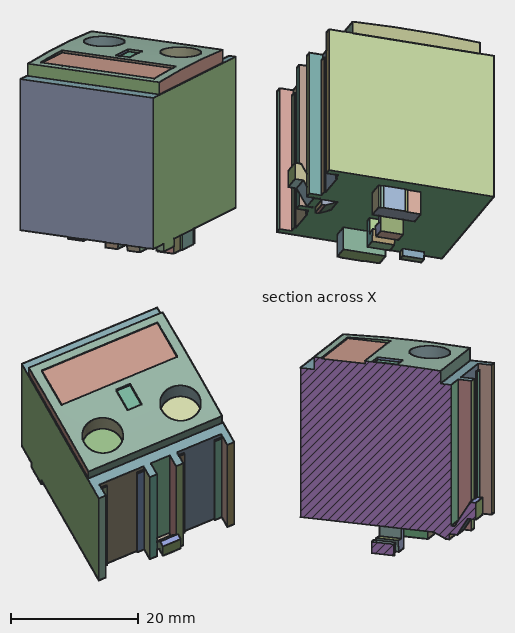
import cadquery as cq
import math

OVERALL_DEPTH = 29.4
OVERALL_HEIGHT = 31.43
BODY_WIDTH = 23.59
HALF_WIDTH = BODY_WIDTH / 2
LATCH_OVERHANG = 1.9
BODY_DEPTH = OVERALL_DEPTH - LATCH_OVERHANG
BODY_HEIGHT = 24.53
HOOK_DROP = 4.59
PEAK_Z = OVERALL_HEIGHT - HOOK_DROP

CAP_WIDTH = 23.29
CAP_FRONT_Y = 2.24
CAP_BACK_Y = 23.5
CROWN_RADIUS = 200.0
CROWN_Y = BODY_DEPTH / 2

WELL_RADIUS = 3.2
WELL_X = 6.77
WELL_Y = 18.6
WELL_DEPTH = 3.3

RECESS_FLOOR_Z = PEAK_Z - 0.42
LABEL_WIDTH = 20.14
LABEL_FRONT_Y = 3.6
LABEL_BACK_Y = 10.77
SLOT_WIDTH = 2.44
SLOT_FRONT_Y = 12.0
SLOT_BACK_Y = 16.18

REAR_WALL_Y = BODY_DEPTH - 2.24
SIDE_RIB_INNER_X = 10.58
CENTRE_RIB_OUTER_X = 2.92
CENTRE_RIB_INNER_X = 1.66
LEDGE_PROJECTION = 0.25
LEDGE_WIDTH = 1.2
LEDGE_TOP_Z = BODY_HEIGHT - 1.0

LATCH_HALF_WIDTH = 1.56
LATCH_HEAD_TOP_Z = 5.66
LATCH_HEAD_BOTTOM_Z = 2.83
LATCH_HEAD_TOP_REACH = 0.9
LATCH_HEAD_BOTTOM_REACH = 0.52
LATCH_SLOPE = 1.6
LATCH_RAMP_LENGTH = 2.64
BARB_BACK_Y = BODY_DEPTH - 2.58
BARB_TIP_LENGTH = 0.6
BARB_LENGTH = 2.61
BARB_DROP = 0.88

POST_INNER_X = 6.57
POST_OUTER_X = 9.52
POST_FRONT_Y = 11.3
POST_BACK_Y = 18.35
POST_DROP = 3.84
PAD_HEIGHT = 0.15
PAD_FRONT_Y = 13.5
PAD_BACK_Y = 17.99
PAD_BEVEL = 0.42

HOOK_OUTER_X = 3.04
HOOK_ARM_INNER_X = 2.04
HOOK_TIP_X = 0.53
HOOK_END_X = 0.9
HOOK_SHELF_Z = -2.71
HOOK_TIP_Z = -2.6
HOOK_FRONT_Y = 11.94
HOOK_BACK_Y = 15.65

TAB_WIDTH = 1.3
TAB_FRONT_Y = 3.45
TAB_BACK_Y = 7.0
TAB_DROP = 1.25


def block(x_range, y_range, z_range):
    """Box spanning the given X, Y and Z ranges."""
    low, high = zip(x_range, y_range, z_range)
    size = [end - start for start, end in zip(low, high)]
    return cq.Workplane("XY").box(*size, centered=False).translate(low)


def both_sides(shape):
    """The shape together with its mirror image in the middle plane."""
    return shape.union(shape.mirror("YZ"))


def prism_along_x(points, half_width):
    """Y-Z outline extruded evenly to both sides of the middle plane."""
    return cq.Workplane("YZ").polyline(points).close().extrude(half_width, both=True)


def crown_z(y):
    """Height of the crowned cap surface at the given Y."""
    return PEAK_Z - CROWN_RADIUS + math.sqrt(CROWN_RADIUS**2 - (y - CROWN_Y) ** 2)


def make_rear_rib_set():
    """Rear ribs on the +X half with the two narrow ledges between them."""
    rib_y = (REAR_WALL_Y, BODY_DEPTH)
    ledge_y = (REAR_WALL_Y, REAR_WALL_Y + LEDGE_PROJECTION)
    side_rib = block((SIDE_RIB_INNER_X, HALF_WIDTH), rib_y, (0, BODY_HEIGHT))
    centre_rib = block((CENTRE_RIB_INNER_X, CENTRE_RIB_OUTER_X), rib_y, (0, BODY_HEIGHT))
    ribs = side_rib.union(centre_rib)
    for ledge_x in (CENTRE_RIB_OUTER_X, SIDE_RIB_INNER_X - LEDGE_WIDTH):
        ledge = block((ledge_x, ledge_x + LEDGE_WIDTH), ledge_y, (0, LEDGE_TOP_Z))
        ribs = ribs.union(ledge)
    return ribs


def make_housing():
    """Block with ribs and ledges on its rear wall."""
    core = block((-HALF_WIDTH, HALF_WIDTH), (0, REAR_WALL_Y), (0, BODY_HEIGHT))
    return core.union(both_sides(make_rear_rib_set()))


def make_cap():
    """Cap with a shallow cylindrical crown."""
    return (
        cq.Workplane("YZ")
        .moveTo(CAP_FRONT_Y, BODY_HEIGHT)
        .lineTo(CAP_FRONT_Y, crown_z(CAP_FRONT_Y))
        .threePointArc((CROWN_Y, PEAK_Z), (CAP_BACK_Y, crown_z(CAP_BACK_Y)))
        .lineTo(CAP_BACK_Y, BODY_HEIGHT)
        .close()
        .extrude(CAP_WIDTH / 2, both=True)
    )


def make_top_recesses():
    """Cutting bodies for the screw wells, the label recess and the slot."""
    wells = (
        cq.Workplane("XY", origin=(0, 0, PEAK_Z))
        .pushPoints([(-WELL_X, WELL_Y), (WELL_X, WELL_Y)])
        .circle(WELL_RADIUS)
        .extrude(-WELL_DEPTH)
    )
    label = block(
        (-LABEL_WIDTH / 2, LABEL_WIDTH / 2), (LABEL_FRONT_Y, LABEL_BACK_Y), (RECESS_FLOOR_Z, PEAK_Z)
    )
    slot = block((-SLOT_WIDTH / 2, SLOT_WIDTH / 2), (SLOT_FRONT_Y, SLOT_BACK_Y), (RECESS_FLOOR_Z, PEAK_Z))
    return wells.union(label).union(slot)


def make_latch():
    """Rear latch: an upright head on an arm that slants down to the rear wall."""
    head_y = BODY_DEPTH + LATCH_OVERHANG
    ramp_start_y = BODY_DEPTH + LATCH_HEAD_TOP_REACH
    ramp_end_y = ramp_start_y - LATCH_RAMP_LENGTH
    ramp_end_z = LATCH_HEAD_TOP_Z - LATCH_SLOPE * LATCH_RAMP_LENGTH
    under_start_y = BODY_DEPTH + LATCH_HEAD_BOTTOM_REACH
    under_end_y = under_start_y - LATCH_HEAD_BOTTOM_Z / LATCH_SLOPE
    outline = [
        (REAR_WALL_Y, 0),
        (under_end_y, 0),
        (under_start_y, LATCH_HEAD_BOTTOM_Z),
        (head_y, LATCH_HEAD_BOTTOM_Z),
        (head_y, LATCH_HEAD_TOP_Z),
        (ramp_start_y, LATCH_HEAD_TOP_Z),
        (ramp_end_y, ramp_end_z),
        (REAR_WALL_Y, ramp_end_z),
    ]
    return prism_along_x(outline, LATCH_HALF_WIDTH)


def make_barb():
    """Wedge under the housing, blunt at the back and running out to the front."""
    outline = [
        (BARB_BACK_Y, 0),
        (BARB_BACK_Y, -BARB_DROP),
        (BARB_BACK_Y - BARB_TIP_LENGTH, -BARB_DROP),
        (BARB_BACK_Y - BARB_LENGTH, 0),
    ]
    return prism_along_x(outline, LATCH_HALF_WIDTH)


def make_posts():
    """Pair of guide posts, each with a bevelled pad raised on its outer side."""
    base_x = POST_OUTER_X - PAD_HEIGHT
    outline = [
        (POST_INNER_X, POST_FRONT_Y),
        (base_x, POST_FRONT_Y),
        (base_x, PAD_FRONT_Y),
        (POST_OUTER_X, PAD_FRONT_Y + PAD_BEVEL),
        (POST_OUTER_X, PAD_BACK_Y - PAD_BEVEL),
        (base_x, PAD_BACK_Y),
        (base_x, POST_BACK_Y),
        (POST_INNER_X, POST_BACK_Y),
    ]
    return both_sides(cq.Workplane("XY").polyline(outline).close().extrude(-POST_DROP))


def make_hooks():
    """Pair of snap hooks whose tips face each other."""
    outline = [
        (HOOK_OUTER_X, 0),
        (HOOK_OUTER_X, -HOOK_DROP),
        (HOOK_END_X, -HOOK_DROP),
        (HOOK_TIP_X, HOOK_TIP_Z),
        (HOOK_ARM_INNER_X, HOOK_SHELF_Z),
        (HOOK_ARM_INNER_X, 0),
    ]
    hook = (
        cq.Workplane("XZ", origin=(0, HOOK_FRONT_Y, 0))
        .polyline(outline)
        .close()
        .extrude(HOOK_FRONT_Y - HOOK_BACK_Y)
    )
    return both_sides(hook)


def make_tab():
    """Small locating tab at the +X edge of the underside."""
    return block((HALF_WIDTH - TAB_WIDTH, HALF_WIDTH), (TAB_FRONT_Y, TAB_BACK_Y), (-TAB_DROP, 0))


result = make_housing().union(make_cap()).cut(make_top_recesses())
for feature in (make_latch(), make_barb(), make_posts(), make_hooks(), make_tab()):
    result = result.union(feature)